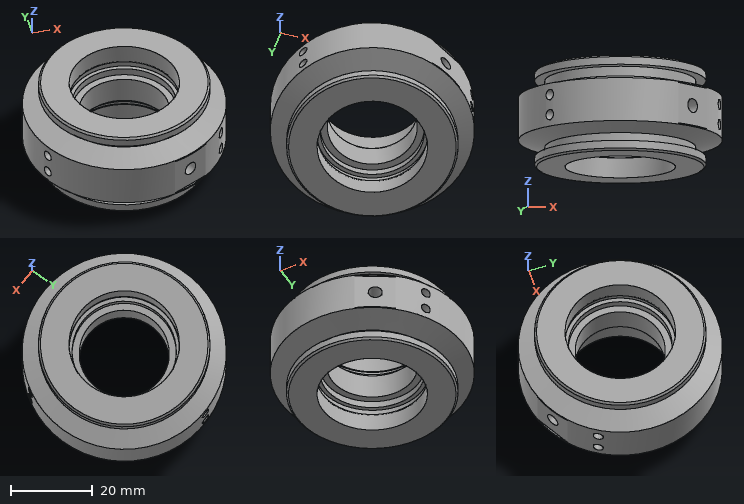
import cadquery as cq

HEIGHT = 23.8
FLANGE_THICKNESS = 2.4
CONE_HEIGHT = 1.72
LIP_THICKNESS = 0.3
BAND_HEIGHT = 10.7

BAND_RADIUS = 25.0
FLANGE_RADIUS = 21.0
NECK_RADIUS = 18.5
FLANGE_CHAMFER = 0.5

BORE_RADIUS = 11.0
STEP_RADIUS = 12.75
SEAT_RADIUS = 13.5
GROOVE_RADIUS = 13.8
SEAT_DEPTH = 6.6
GROOVE_WIDTH = 1.6
STEP_DEPTH = 8.5

FLAT_ANGLE = -60.0
FLAT_DISTANCE = 24.5
FLAT_HOLE_DIAMETER = 3.4

PAIR_COUNT = 3
PAIR_START_ANGLE = -30.0
PAIR_SPACING = 5.0
PAIR_HOLE_DIAMETER = 2.5

RADIAL_HOLE_DEPTH = 8.0

CUT_MARGIN = 1.0

HALF_HEIGHT = HEIGHT / 2


def make_outer_body():
    """Revolve the outer outline: chamfered flanges, necks, cones and the central band."""
    neck_top = HALF_HEIGHT - FLANGE_THICKNESS
    neck_bottom = BAND_HEIGHT / 2 + CONE_HEIGHT
    upper_half = [
        (BAND_RADIUS, BAND_HEIGHT / 2),
        (NECK_RADIUS, neck_bottom),
        (NECK_RADIUS, neck_top),
        (FLANGE_RADIUS, neck_top),
        (FLANGE_RADIUS, HALF_HEIGHT - FLANGE_CHAMFER),
        (FLANGE_RADIUS - FLANGE_CHAMFER, HALF_HEIGHT),
        (0, HALF_HEIGHT),
    ]
    lower_half = [(radius, -z) for radius, z in reversed(upper_half)]
    outline = cq.Workplane("XZ").polyline(lower_half + upper_half).close()
    return outline.revolve(360, (0, 0, 0), (0, 1, 0))


def end_recess(radius, start_depth, end_depth):
    """Disc-shaped cutter between two depths below the top end face."""
    plane = cq.Workplane("XY").workplane(offset=HALF_HEIGHT - end_depth)
    return plane.circle(radius).extrude(end_depth - start_depth)


def make_bore():
    """Through bore with a stepped, grooved seat at both ends."""
    seat = end_recess(SEAT_RADIUS, 0, SEAT_DEPTH)
    groove = end_recess(GROOVE_RADIUS, SEAT_DEPTH - GROOVE_WIDTH, SEAT_DEPTH)
    step = end_recess(STEP_RADIUS, 0, STEP_DEPTH)
    top_recess = seat.union(groove).union(step)
    bottom_recess = top_recess.mirror("XY")
    through = end_recess(BORE_RADIUS, 0, HEIGHT)
    return through.union(top_recess).union(bottom_recess)


def radial_hole(angle, z, diameter, surface_distance):
    """Blind hole cutter pointing at the axis, its depth measured from the given surface."""
    hole_bottom = surface_distance - RADIAL_HOLE_DEPTH
    plane = cq.Workplane("YZ", origin=(hole_bottom, 0, z))
    hole = plane.circle(diameter / 2).extrude(BAND_RADIUS + CUT_MARGIN - hole_bottom)
    return hole.rotate((0, 0, 0), (0, 0, 1), angle)


def flat_cutter():
    """Block that cuts the flat into the band, leaving a thin lip above and below."""
    block_width = BAND_RADIUS
    block_depth = BAND_RADIUS - FLAT_DISTANCE + CUT_MARGIN
    block_height = BAND_HEIGHT - 2 * LIP_THICKNESS
    block = cq.Workplane("XY").box(block_depth, block_width, block_height, centered=(False, True, True))
    return block.translate((FLAT_DISTANCE, 0, 0)).rotate((0, 0, 0), (0, 0, 1), FLAT_ANGLE)


result = make_outer_body().cut(make_bore()).cut(flat_cutter())
result = result.cut(radial_hole(FLAT_ANGLE, 0, FLAT_HOLE_DIAMETER, FLAT_DISTANCE))

for pair in range(PAIR_COUNT):
    pair_angle = PAIR_START_ANGLE + pair * 360 / PAIR_COUNT
    for side in (-1, 1):
        hole_z = side * PAIR_SPACING / 2
        result = result.cut(radial_hole(pair_angle, hole_z, PAIR_HOLE_DIAMETER, BAND_RADIUS))